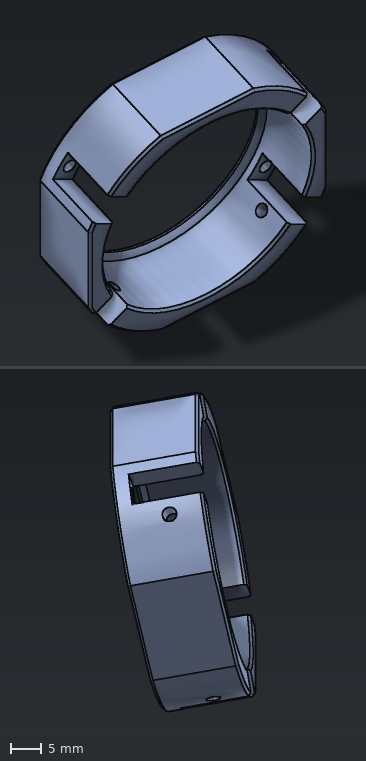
import cadquery as cq
import math

across_flats = 48.0
length = 15.0
outer_diameter = 51.5
edge_chamfer = 0.5

lip_diameter = 40.0
bore_diameter = 42.1
lip_thickness = 0.5
cone_length = (bore_diameter - lip_diameter) / 2
bore_start = lip_thickness + cone_length

slot_width = 5.6
flange_thickness = 3.0
screw_y = 19.8
screw_z = 12.55
screw_diameter = 2.45
slot_angle = math.degrees(math.atan2(screw_z, screw_y))

radial_hole_diameter = 2.4
radial_hole_x = 8.95
radial_hole_angles = (-45, -135)


def ring_body():
    """Round body trimmed by four flats, with chamfered ends."""
    block = cq.Workplane("YZ").rect(across_flats, across_flats).extrude(length)
    cylinder = cq.Workplane("YZ").circle(outer_diameter / 2).extrude(length)
    body = cylinder.intersect(block)
    return body.faces("<X or >X").edges().chamfer(edge_chamfer)


def bore():
    """Space inside the ring: half profile of (x, radius) points revolved about the X axis."""
    lip_radius = lip_diameter / 2
    bore_radius = bore_diameter / 2
    profile = [
        (0, 0),
        (0, lip_radius),
        (lip_thickness, lip_radius),
        (bore_start, bore_radius),
        (length - edge_chamfer, bore_radius),
        (length, bore_radius + edge_chamfer),
        (length, 0),
    ]
    return cq.Workplane("XY").polyline(profile).close().revolve(360, (0, 0, 0), (1, 0, 0))


def slot(angle):
    """Radial slot running from the flange out through the +X end."""
    return (
        cq.Workplane("XY")
        .box(length, outer_diameter, slot_width, centered=(False, False, True))
        .translate((flange_thickness, 0, 0))
        .rotate((0, 0, 0), (1, 0, 0), angle)
    )


def screw_holes():
    """Four holes through the flange, opening into the slots."""
    return (
        cq.Workplane("YZ")
        .rect(2 * screw_y, 2 * screw_z, forConstruction=True)
        .vertices()
        .circle(screw_diameter / 2)
        .extrude(length)
    )


def radial_hole(angle):
    """Hole through one side of the wall, pointing outward from the axis."""
    return (
        cq.Workplane("XZ", origin=(radial_hole_x, 0, 0))
        .circle(radial_hole_diameter / 2)
        .extrude(-outer_diameter)
        .rotate((0, 0, 0), (1, 0, 0), angle)
    )


result = ring_body().cut(bore()).cut(screw_holes())
for angle in (slot_angle, 180 - slot_angle, 180 + slot_angle, -slot_angle):
    result = result.cut(slot(angle))
for angle in radial_hole_angles:
    result = result.cut(radial_hole(angle))